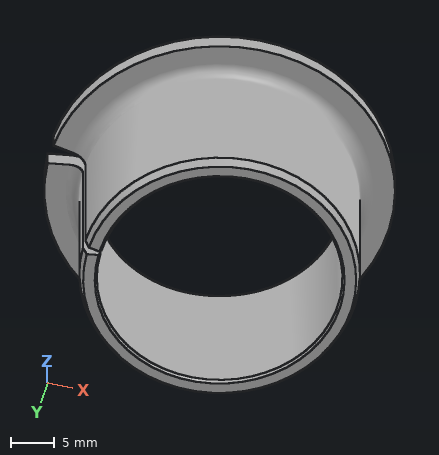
import cadquery as cq
import math

flange_diameter = 39.98
sleeve_diameter = 32.0
height = 20.0
wall = 2.0
outer_bend_radius = 1.5
chamfer_height = 1.2
chamfer_angle = 20.0
bore_chamfer_height = 0.4
bore_chamfer_inset = 0.25
slit_bore_half_width = 0.2
slit_side_angle = 10.0

flange_radius = flange_diameter / 2
sleeve_radius = sleeve_diameter / 2
bore_radius = sleeve_radius - wall
inner_bend_radius = outer_bend_radius + wall
chamfer_inset = chamfer_height * math.tan(math.radians(chamfer_angle))

bend_center_radius = sleeve_radius + outer_bend_radius
bend_center_z = height - inner_bend_radius
flange_bottom = height - wall


def bend_middle(radius):
    """Midpoint of a quarter bend facing the axis and the flange top."""
    offset = radius * math.sqrt(0.5)
    return bend_center_radius - offset, bend_center_z + offset


def make_bushing():
    """Flanged sleeve, revolved about Z, with its bottom at Z = 0."""
    profile = (
        cq.Workplane("XZ")
        .transformed(rotate=(0, 180, 0))
        .moveTo(bore_radius, bore_chamfer_height)
        .lineTo(bore_radius + bore_chamfer_inset, 0)
        .lineTo(sleeve_radius - chamfer_inset, 0)
        .lineTo(sleeve_radius, chamfer_height)
        .lineTo(sleeve_radius, bend_center_z)
        .threePointArc(bend_middle(outer_bend_radius), (bend_center_radius, flange_bottom))
        .lineTo(flange_radius, flange_bottom)
        .lineTo(flange_radius, height)
        .lineTo(bend_center_radius, height)
        .threePointArc(bend_middle(inner_bend_radius), (bore_radius, bend_center_z))
        .close()
    )
    return profile.revolve(360, (0, 0, 0), (0, 1, 0))


def make_slit():
    """Wedge on the -X side that opens outwards through the full height."""
    slope = math.tan(math.radians(slit_side_angle))
    tip_x = -bore_radius + slit_bore_half_width / slope
    outer_x = -flange_radius - wall
    outer_half_width = (tip_x - outer_x) * slope
    return (
        cq.Workplane("XY")
        .polyline([(tip_x, 0), (outer_x, outer_half_width), (outer_x, -outer_half_width)])
        .close()
        .extrude(height)
    )


result = make_bushing().cut(make_slit())